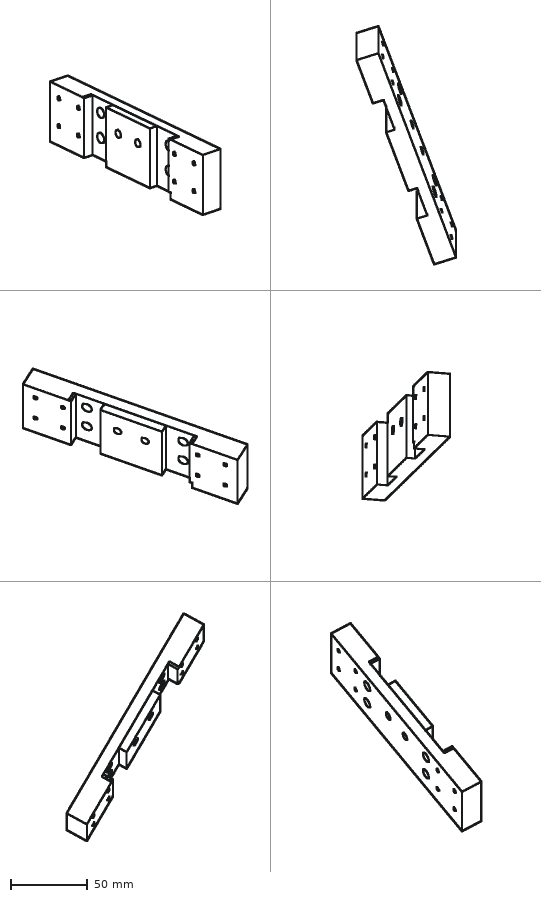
import cadquery as cq

length = 156.0
depth = 15.3
height = 43.0

plate_depth = 8.0
pad_rise = 6.0
pad_width = 44.8

block_inner_x = 43.0
strip_width = 1.9
top_drop = 0.2
notch_height = 4.7

screw_diameter = 2.7
screw_center_x = 59.0
screw_center_z = 2.5
screw_pitch = 20.0
pad_hole_diameter = 5.3
pad_hole_pitch = 20.0
pad_hole_z = 6.5
plate_hole_diameter = 7.0
plate_hole_x = 35.0
plate_hole_center_z = 2.5
plate_hole_pitch = 18.1

back_y = depth / 2
plate_front_y = back_y - plate_depth
top_z = height / 2
bottom_z = -height / 2
block_rise = depth - plate_depth
block_width = length / 2 - block_inner_x
strip_x = block_inner_x + strip_width / 2
sides = (-1, 1)


def box_on_plate(center_x, width, rise, low_z, high_z):
    """Box standing on the front face of the plate, towards -Y."""
    center = (center_x, plate_front_y - rise / 2, (low_z + high_z) / 2)
    return cq.Workplane("XY").box(width, rise, high_z - low_z).translate(center)


def drill(body, points, diameter):
    """Drill through the full depth at the given (x, z) points."""
    holes = (
        cq.Workplane("XZ", origin=(0, back_y, 0))
        .pushPoints(points)
        .circle(diameter / 2)
        .extrude(depth)
    )
    return body.cut(holes)


plate_center_y = back_y - plate_depth / 2
body = cq.Workplane("XY").box(length, plate_depth, height).translate((0, plate_center_y, 0))
body = body.union(box_on_plate(0, pad_width, pad_rise, bottom_z, top_z - top_drop))

for side in sides:
    block_x = side * (block_inner_x + block_width / 2)
    body = body.union(box_on_plate(block_x, block_width, block_rise, bottom_z, top_z))
    body = body.cut(box_on_plate(side * strip_x, strip_width, block_rise, top_z - top_drop, top_z))

body = body.cut(box_on_plate(strip_x, strip_width, block_rise, bottom_z, bottom_z + notch_height))

screw_points = [
    (side * screw_center_x + column * screw_pitch / 2, screw_center_z + row * screw_pitch / 2)
    for side in sides
    for column in sides
    for row in sides
]
body = drill(body, screw_points, screw_diameter)

pad_points = [(side * pad_hole_pitch / 2, pad_hole_z) for side in sides]
body = drill(body, pad_points, pad_hole_diameter)

plate_points = [
    (side * plate_hole_x, plate_hole_center_z + row * plate_hole_pitch / 2)
    for side in sides
    for row in sides
]
result = drill(body, plate_points, plate_hole_diameter)